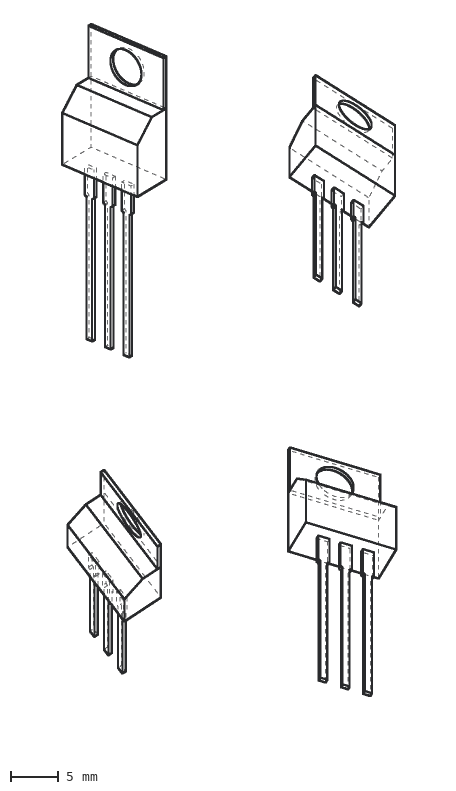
import cadquery as cq


package_width = 10.29
package_depth = 4.7
overall_height = 35.94
package_height = 14.99

tab_height = 6.34
tab_thickness = 0.46
tab_hole_diameter = 4.23
tab_hole_from_top = 3.135

housing_height = package_height - tab_height
housing_chamfer = 2.35

lead_count = 3
lead_pitch = 2.54
lead_thickness = 0.46
lead_center_from_front = 1.53
lead_length = overall_height - package_height
shoulder_width = 1.27
shoulder_length = 3.46
pin_width = 0.81
taper_length = 0.2

rear_y = package_depth / 2
front_y = -package_depth / 2
lead_center_y = front_y + lead_center_from_front


def make_housing():
    """Block with its upper front edge cut off at 45 degrees."""
    block = cq.Workplane("XY").box(
        package_width, package_depth, housing_height, centered=(True, True, False)
    )
    return block.faces("<Y").edges(">Z").chamfer(housing_chamfer)


def make_tab():
    """Thin plate on top of the housing with a round mounting hole."""
    plate = (
        cq.Workplane("XY", origin=(0, rear_y - tab_thickness / 2, housing_height))
        .box(package_width, tab_thickness, tab_height, centered=(True, True, False))
    )
    hole_cutter = (
        cq.Workplane("XZ", origin=(0, rear_y, package_height - tab_hole_from_top))
        .circle(tab_hole_diameter / 2)
        .extrude(tab_thickness)
    )
    return plate.cut(hole_cutter)


def make_lead(center_x):
    """Flat lead with a wide shoulder that tapers briefly to a narrow pin."""
    half_shoulder = shoulder_width / 2
    half_pin = pin_width / 2
    taper_end_z = -shoulder_length - taper_length
    return (
        cq.Workplane("XZ", origin=(center_x, lead_center_y, 0))
        .moveTo(-half_shoulder, 0)
        .lineTo(half_shoulder, 0)
        .lineTo(half_shoulder, -shoulder_length)
        .lineTo(half_pin, taper_end_z)
        .lineTo(half_pin, -lead_length)
        .lineTo(-half_pin, -lead_length)
        .lineTo(-half_pin, taper_end_z)
        .lineTo(-half_shoulder, -shoulder_length)
        .close()
        .extrude(lead_thickness / 2, both=True)
    )


housing = make_housing()
tab = make_tab()
leads = []
for index in range(lead_count):
    lead_x = (index - (lead_count - 1) / 2) * lead_pitch
    leads.append(make_lead(lead_x).val())

result = cq.Compound.makeCompound([housing.val(), tab.val(), *leads])